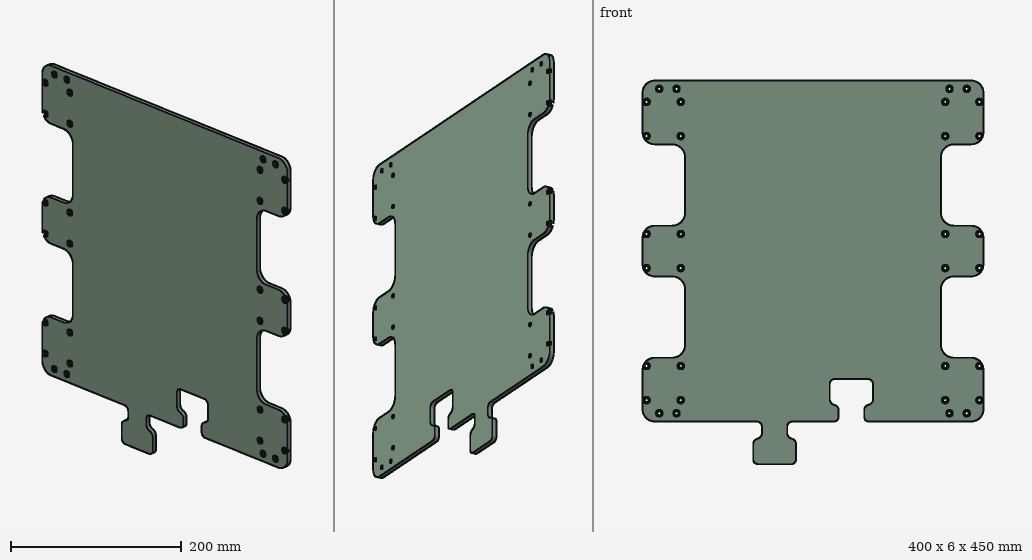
import cadquery as cq
import math

overall_height = 450.0
panel_side = 400.0
thickness = 6.0

ear_length = 50.0
corner_ear_height = 75.0
middle_ear_height = 60.0
ear_radius = 15.0

key_height = overall_height - panel_side
key_offset = 45.0
head_half_width = 25.0
neck_half_width = 15.0
shoulder_height = 20.0
shoulder_rise = 13.0
key_radius = 6.0

hole_diameter = 4.5
counterbore_diameter = 8.0
counterbore_depth = 2.93
hole_pitch = 40.0
hole_side_gap = 5.0
corner_hole_end_gap = 25.0
end_row_gap = 10.0
end_row_side_gaps = (20.0, 40.0)

half_side = panel_side / 2
half_gap = (panel_side - middle_ear_height - 2 * corner_ear_height) / 4
gap_center_height = middle_ear_height / 2 + half_gap
bend_ratio = 1 - math.sqrt(0.5)


def front_plane():
    """Plane on the front (-Y) face: local x is X, local y is Z and the normal points out of the part."""
    return cq.Workplane("XZ", origin=(0, -thickness / 2, 0))


def ear_gap():
    """Cutter for the right-hand gap between two ears, centred on Z = 0, rounding the ear tips beside it."""
    root = half_side - ear_length
    bend = bend_ratio * ear_radius
    upper_half = (
        front_plane()
        .moveTo(half_side, 0)
        .lineTo(root, 0)
        .lineTo(root, half_gap - ear_radius)
        .threePointArc((root + bend, half_gap - bend), (root + ear_radius, half_gap))
        .lineTo(half_side - ear_radius, half_gap)
        .threePointArc((half_side - bend, half_gap + bend), (half_side, half_gap + ear_radius))
        .close()
        .extrude(-thickness)
    )
    return upper_half.union(upper_half.mirror("XY"))


def key():
    """Key pointing up from Z = 0 and centred on X = 0, flared where it meets the panel edge."""
    shoulder_middle = (head_half_width + neck_half_width) / 2
    shoulder_turn = 2 * math.atan2(head_half_width - neck_half_width, shoulder_rise)
    shoulder_radius = shoulder_rise / (2 * math.sin(shoulder_turn))
    arc_inset = shoulder_radius * (1 - math.cos(shoulder_turn / 2))
    arc_rise = shoulder_radius * math.sin(shoulder_turn / 2)
    neck_top = shoulder_height - shoulder_rise / 2
    head_base = shoulder_height + shoulder_rise / 2
    head_flat = head_half_width - key_radius
    bend = bend_ratio * key_radius
    right_half = (
        front_plane()
        .lineTo(neck_half_width + key_radius, 0)
        .threePointArc((neck_half_width + bend, bend), (neck_half_width, key_radius))
        .lineTo(neck_half_width, neck_top)
        .threePointArc((neck_half_width + arc_inset, neck_top + arc_rise), (shoulder_middle, shoulder_height))
        .threePointArc((head_half_width - arc_inset, head_base - arc_rise), (head_half_width, head_base))
        .lineTo(head_half_width, key_height - key_radius)
        .threePointArc((head_half_width - bend, key_height - bend), (head_flat, key_height))
        .lineTo(0, key_height)
        .close()
        .extrude(-thickness)
    )
    return right_half.union(right_half.mirror("YZ"))


def hole_centers():
    """Hole centres of the upper right quarter, repeated in all four quarters."""
    columns = (half_side - hole_side_gap, half_side - hole_side_gap - hole_pitch)
    corner_top_row = half_side - corner_hole_end_gap
    rows = (corner_top_row, corner_top_row - hole_pitch, hole_pitch / 2)
    quarter = [(x, z) for x in columns for z in rows]
    quarter += [(half_side - gap, half_side - end_row_gap) for gap in end_row_side_gaps]
    return [(x * x_sign, z * z_sign) for x, z in quarter for x_sign in (-1, 1) for z_sign in (-1, 1)]


plate = front_plane().rect(panel_side, panel_side).extrude(-thickness).edges("|Y").fillet(ear_radius)

right_gap = ear_gap()
for gap in (right_gap, right_gap.mirror("YZ")):
    for height in (-gap_center_height, gap_center_height):
        plate = plate.cut(gap.translate((0, 0, height)))

plate = plate.union(key().mirror("XY").translate((-key_offset, 0, -half_side)))
plate = plate.cut(key().translate((key_offset, 0, -half_side)))

result = (
    plate.copyWorkplane(front_plane())
    .pushPoints(hole_centers())
    .cboreHole(hole_diameter, counterbore_diameter, counterbore_depth)
)